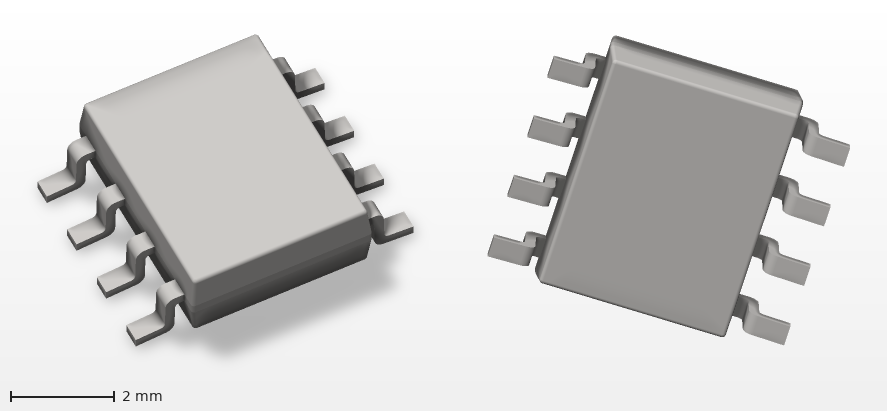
import cadquery as cq
import math

body_length = 4.9
body_width = 3.9
body_bottom = 0.17
body_top = 1.75
lead_span = 6.0

lead_thickness = 0.21
band_height = lead_thickness
band_bottom = (body_bottom + body_top - band_height) / 2
band_top = band_bottom + band_height
draft_angle = 6.0
edge_radius = 0.07

marker_diameter = 0.395
marker_depth = 0.03
marker_inset = 0.535

leads_per_side = 4
lead_pitch = 1.27
lead_width = 0.4
shank_reach = 0.4
shank_tilt = 1.5
foot_tilt = 4.2
outer_bend_radius = 0.2
inner_bend_radius = 0.1


def make_body_section(base_z, height, taper):
    """One layer of the body, growing from base_z, with rounded upright corners."""
    return (
        cq.Workplane("XY")
        .workplane(offset=base_z)
        .rect(body_length, body_width)
        .extrude(height, taper=taper)
        .edges("not #Z")
        .fillet(edge_radius)
    )


def make_body():
    """Moulded body with every corner and the top and bottom rims rounded."""
    band = make_body_section(band_bottom, band_height, 0)
    upper = make_body_section(band_top, body_top - band_top, draft_angle)
    lower = make_body_section(band_bottom, body_bottom - band_bottom, draft_angle)
    upper = upper.faces(">Z").edges().fillet(edge_radius)
    lower = lower.faces("<Z").edges().fillet(edge_radius)
    return band.union(upper).union(lower)


def make_marker():
    """Pin 1 disc, sunk into the top face near the -X, -Y corner."""
    return (
        cq.Workplane("XY")
        .workplane(offset=body_top - marker_depth)
        .center(marker_inset - body_length / 2, marker_inset - body_width / 2)
        .circle(marker_diameter / 2)
        .extrude(marker_depth)
    )


def make_lead(x):
    """Lead on the +Y side, centred at x: flat shoulder, leaning shank, sloping foot."""
    shank_slope = math.tan(math.radians(shank_tilt))
    foot_slope = math.tan(math.radians(foot_tilt))
    shank_thickness = lead_thickness / math.cos(math.radians(shank_tilt))
    foot_thickness = lead_thickness / math.cos(math.radians(foot_tilt))
    root = body_width / 2
    toe = lead_span / 2
    outer_top = root + shank_reach
    inner_top = outer_top - shank_thickness + lead_thickness * shank_slope

    def foot_corner(shank_top, shank_top_z, toe_z):
        """Where a shank face meets a foot face."""
        toe_line_z = toe_z + foot_slope * (toe - shank_top)
        drop = (shank_top_z - toe_line_z) / (1 - foot_slope * shank_slope)
        return shank_top + drop * shank_slope, shank_top_z - drop

    shoulder_outer = (outer_top, band_top)
    shoulder_inner = (inner_top, band_bottom)
    heel_inner = foot_corner(outer_top, band_top, foot_thickness)
    heel_outer = foot_corner(inner_top, band_bottom, 0)

    lead = (
        cq.Workplane("YZ")
        .workplane(offset=x - lead_width / 2)
        .polyline([
            (root, band_top),
            shoulder_outer,
            heel_inner,
            (toe, foot_thickness),
            (toe, 0),
            heel_outer,
            shoulder_inner,
            (root, band_bottom),
        ])
        .close()
        .extrude(lead_width)
    )
    bends = [
        (shoulder_outer, outer_bend_radius),
        (heel_outer, outer_bend_radius),
        (shoulder_inner, inner_bend_radius),
        (heel_inner, inner_bend_radius),
    ]
    for (y, z), radius in bends:
        lead = lead.edges(cq.selectors.NearestToPointSelector((x, y, z))).fillet(radius)
    return lead


marker = make_marker()
body = make_body().cut(marker)

leads = []
for index in range(leads_per_side):
    lead_x = (index - (leads_per_side - 1) / 2) * lead_pitch
    back_lead = make_lead(lead_x)
    leads.append(back_lead.val())
    leads.append(back_lead.mirror("XZ").val())

result = cq.Compound.makeCompound([body.val(), marker.val(), *leads])